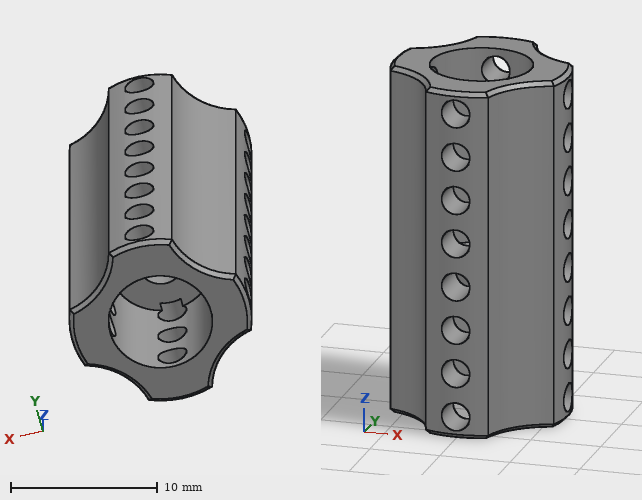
import cadquery as cq
import math

length = 25.0
outer_radius = 12.5 / 2
edge_chamfer = 0.3

lobe_count = 4
lobe_pitch = 360.0 / lobe_count
lobe_half_width = 2.22
flute_floor_radius = 5.0

bore_diameter = 7.1
top_bore_depth = 14.0
bottom_bore_depth = 8.5
web_hole_diameter = 3.0

side_hole_diameter = 2.0
holes_per_row = 8
hole_pitch = length / holes_per_row
side_hole_inner_radius = 6.0 / 2


def polar_point(radius, angle):
    """Point at a radius and an angle in degrees, measured from +X."""
    return (
        radius * math.cos(math.radians(angle)),
        radius * math.sin(math.radians(angle)),
    )


def fluted_body():
    """Bar with round lobes and concave flutes, chamfered at both ends."""
    lobe_half_angle = math.degrees(math.asin(lobe_half_width / outer_radius))
    outline = cq.Workplane("XY").moveTo(*polar_point(outer_radius, -lobe_half_angle))
    for lobe in range(lobe_count):
        lobe_angle = lobe * lobe_pitch
        next_lobe_angle = lobe_angle + lobe_pitch
        lobe_end = polar_point(outer_radius, lobe_angle + lobe_half_angle)
        next_lobe_start = polar_point(outer_radius, next_lobe_angle - lobe_half_angle)
        flute_floor = polar_point(flute_floor_radius, lobe_angle + lobe_pitch / 2)
        outline = outline.threePointArc(polar_point(outer_radius, lobe_angle), lobe_end)
        outline = outline.threePointArc(flute_floor, next_lobe_start)
    body = outline.close().extrude(length)
    return body.faces("<Z or >Z").edges().chamfer(edge_chamfer)


def cylinder(diameter, bottom, height):
    """Upright cylinder on the part axis."""
    return cq.Workplane("XY").workplane(offset=bottom).circle(diameter / 2).extrude(height)


def side_hole_rows():
    """Radial holes, one row per lobe, ending on a cylinder around the part axis."""
    hole_heights = [(index + 0.5) * hole_pitch for index in range(holes_per_row)]
    row = (
        cq.Workplane("YZ")
        .pushPoints([(0, height) for height in hole_heights])
        .circle(side_hole_diameter / 2)
        .extrude(outer_radius)
        .cut(cylinder(2 * side_hole_inner_radius, 0, length))
    )
    return [
        row.rotate((0, 0, 0), (0, 0, 1), lobe * lobe_pitch)
        for lobe in range(lobe_count)
    ]


result = fluted_body()
result = result.cut(cylinder(bore_diameter, length - top_bore_depth, top_bore_depth))
result = result.cut(cylinder(bore_diameter, 0, bottom_bore_depth))
result = result.cut(cylinder(web_hole_diameter, 0, length))
for hole_row in side_hole_rows():
    result = result.cut(hole_row)